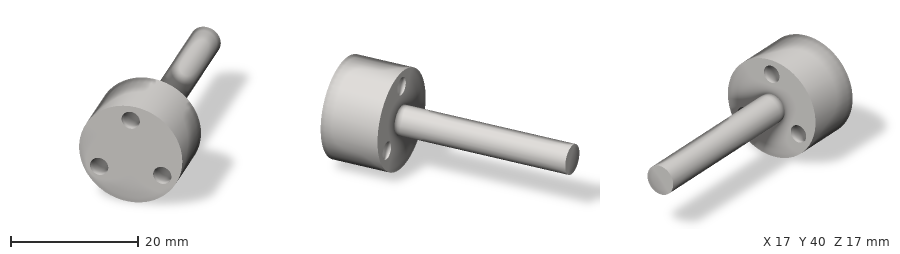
import cadquery as cq

head_diameter = 17.0
head_length = 10.0
shaft_diameter = 5.0
shaft_length = 30.0
hole_diameter = 3.0
hole_circle_radius = 6.0
hole_count = 3
first_hole_angle = 90.0


def cylinder_along_y(diameter, length, start_y):
    """Solid cylinder on the part's axis, reaching from start_y towards +Y."""
    return (
        cq.Workplane("XZ", origin=(0, start_y, 0))
        .circle(diameter / 2)
        .extrude(-length)
    )


def head_holes():
    """Evenly spaced holes running through the whole head."""
    return (
        cq.Workplane("XZ")
        .polarArray(hole_circle_radius, first_hole_angle, 360, hole_count)
        .circle(hole_diameter / 2)
        .extrude(-head_length)
    )


head = cylinder_along_y(head_diameter, head_length, 0).cut(head_holes())
shaft = cylinder_along_y(shaft_diameter, shaft_length, head_length)

result = head.union(shaft)